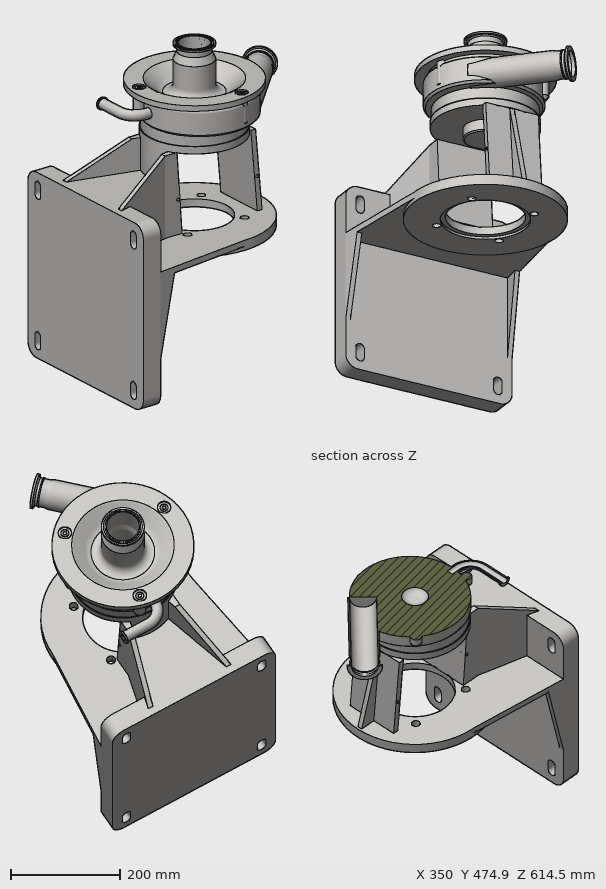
import cadquery as cq
import math


plate_width = 350
plate_height = 370.0
plate_front_y = -250.0
plate_thickness = 40.0
plate_back_y = plate_front_y + plate_thickness
plate_corner_radius = 25.0
slot_inset_x = 30.0
slot_inset_z = 35.0
slot_width = 18.0
slot_length = 35.0

shelf_top_z = 271.0
shelf_thickness = 12
disc_thickness = 20.0
disc_radius = 150.5
disc_bore_radius = 74
disc_relief_radius = 83.0
disc_relief_depth = 5.0
shelf_hole_circle_radius = 93.0
shelf_hole_diameter = 16.0
gusset_thickness = 10.0
gusset_reach = 35.0
gusset_foot_z = 97.0

leg_half_width = 55
leg_top_z = 435.0
front_leg_outer_y = -109.5
front_leg_inner_top_y = -82.0
front_leg_inner_foot_y = -70.0
back_leg_inner_top_y = 88.0
back_leg_lean = 15.0
back_leg_thickness = 11.0
back_rib_thickness = 10.0
back_rib_reach = 32.0
rib_thickness = 10.0
rib_splay_angle = math.radians(15)
rib_end_y = -235.0
pin_hole_diameter = 5.5
pin_hole_depth = 12
pin_hole_z = 340.5
front_pin_hole_y = -80
back_pin_hole_y = 102.0

ring_radius = 101.5
ring_top_z = 450.0
collar_radius = 99.5
volute_bottom_z = 473
volute_top_z = 527.0
volute_radius = 112.0
volute_offset = 6.45
volute_chamfer = 4.0
volute_fillet = 8.0
neck_radius = 106.0
flange_radius = 130.0
flange_bottom_z = 533.0
flange_top_z = 544.0
stub_radius = 41.0
stub_bottom_z = 412.5
stub_chamfer = 2.5

bowl_radius = 94.0
bowl_lip_width = 3.0
bowl_lip_depth = 2.0
bowl_cone_end_radius = 68.0
bowl_cone_end_z = 523.0
bowl_floor_radius = 58.5
bowl_floor_z = 517.5
bowl_fillet_radius = 16.0

inlet_top_z = 614.5
inlet_radius = 39.5
inlet_neck_radius = 32.5
inlet_neck_bottom_z = 598.0
inlet_cone_bottom_z = 582.5
inlet_ferrule_radius = 39.5
inlet_ferrule_thickness = 3.5
inlet_ferrule_bevel = 2.5
gasket_groove_inner_radius = 32.5
gasket_groove_outer_radius = 35.5
gasket_groove_depth = 1.0
inlet_bore_radius = 27.0
inlet_mouth_radius = 30.0
inlet_mouth_bottom_z = 565.5
inlet_mouth_cone_height = 12
inlet_bore_bottom_z = 491.5
inlet_bore_floor_radius = 10.0

outlet_z = 499.5
outlet_offset = 95.0
outlet_length = 190.5
outlet_radius = 28.0
outlet_neck_radius = 26.5
outlet_neck_length = 24.5
outlet_cone_length = 8.5
outlet_ferrule_radius = 32.5
outlet_ferrule_thickness = 4.0
outlet_ferrule_bevel = 3.0
outlet_bead_radius = 27.5
outlet_bead_width = 2.5
outlet_bead_setback = 15.0
outlet_bore_radius = 24.5

nozzle_radius = 10.5
nozzle_bore_radius = 6
nozzle_y = -145.5
nozzle_z = 501.0
nozzle_bend_radius = 34.0
nozzle_end_x = -88.5
nozzle_ferrule_radius = 12
nozzle_ferrule_thickness = 3.5
nozzle_root_y = -92

screw_circle_radius = 109.5
screw_angles = (15, 135, 255)
screw_recess_radius = 12
screw_recess_depth = 3.0
screw_head_radius = 7.5
screw_head_height = 2.0
screw_socket_size = 7.5
boss_radius = 11.0
boss_tip_radius = 6
boss_taper_z = 486.0
boss_bottom_z = 479.5


def cylinder(radius, bottom_z, top_z):
    return cq.Workplane("XY").workplane(offset=bottom_z).circle(radius).extrude(top_z - bottom_z)


def side_prism(points, start_x, width):
    """Extrude a (y, z) outline along +X from start_x."""
    return cq.Workplane("YZ").workplane(offset=start_x).polyline(points).close().extrude(width)


def mounting_plate():
    plate = (
        cq.Workplane("XY")
        .box(plate_width, plate_thickness, plate_height, centered=(True, False, False))
        .translate((0, plate_front_y, 0))
        .edges("|Y")
        .fillet(plate_corner_radius)
    )
    slots = (
        cq.Workplane("XZ", origin=(0, plate_back_y, plate_height / 2))
        .rarray(plate_width - 2 * slot_inset_x, plate_height - 2 * slot_inset_z, 2, 2)
        .slot2D(slot_length, slot_width, 90)
        .extrude(plate_thickness)
    )
    return plate.cut(slots)


def shelf_edge_x(y):
    """Half width of the shelf where it widens from the disc to the plate corners."""
    return disc_radius + (plate_width / 2 - disc_radius) * y / plate_back_y


def shelf():
    """Slab reaching from the plate to the disc, thickened under the disc, bored and drilled."""
    corner_x = plate_width / 2
    slab = (
        cq.Workplane("XY")
        .workplane(offset=shelf_top_z - shelf_thickness)
        .moveTo(-corner_x, plate_back_y)
        .lineTo(corner_x, plate_back_y)
        .lineTo(disc_radius, 0)
        .threePointArc((0, disc_radius), (-disc_radius, 0))
        .close()
        .extrude(shelf_thickness)
    )
    disc_bottom_z = shelf_top_z - disc_thickness
    holes = (
        cq.Workplane("XY")
        .workplane(offset=disc_bottom_z)
        .polarArray(shelf_hole_circle_radius, 45, 360, 4)
        .circle(shelf_hole_diameter / 2)
        .extrude(disc_thickness)
    )
    return (
        slab.union(cylinder(disc_radius, disc_bottom_z, shelf_top_z))
        .cut(cylinder(disc_bore_radius, disc_bottom_z, shelf_top_z))
        .cut(cylinder(disc_relief_radius, disc_bottom_z, disc_bottom_z + disc_relief_depth))
        .cut(holes)
    )


def shelf_gussets():
    """Triangular gussets under the shelf, flush with its slanted sides."""
    top_z = shelf_top_z - shelf_thickness
    tip_y = plate_back_y + gusset_reach
    tip_x = shelf_edge_x(tip_y)
    root_x = shelf_edge_x(plate_back_y)
    side = side_prism([(plate_back_y, top_z), (tip_y, top_z), (plate_back_y, gusset_foot_z)], 0, root_x)
    plan = (
        cq.Workplane("XY")
        .workplane(offset=gusset_foot_z)
        .polyline(
            [
                (root_x, plate_back_y),
                (tip_x, tip_y),
                (tip_x - gusset_thickness, tip_y),
                (root_x - gusset_thickness, plate_back_y),
            ]
        )
        .close()
        .extrude(top_z - gusset_foot_z)
    )
    gusset = plan.intersect(side)
    return gusset.union(gusset.mirror("YZ"))


def pin_holes(y):
    left = (
        cq.Workplane("YZ", origin=(-leg_half_width, y, pin_hole_z))
        .circle(pin_hole_diameter / 2)
        .extrude(pin_hole_depth)
    )
    return left.union(left.mirror("YZ"))


def front_leg():
    """Leg with a round outer wall and two splayed ribs, solid between the ribs up to the plate top."""
    splay = math.tan(rib_splay_angle)
    rib_inner_x = leg_half_width - rib_thickness / math.cos(rib_splay_angle)
    rib_spread = (front_leg_outer_y - rib_end_y) * splay
    rib_inner_end_x = rib_inner_x + rib_spread
    rib_outer_end_x = leg_half_width + rib_spread
    channel_inner_x = rib_inner_x - (front_leg_inner_top_y - front_leg_outer_y) * splay

    plan = (
        cq.Workplane("XY")
        .workplane(offset=shelf_top_z)
        .polyline(
            [
                (-rib_outer_end_x, rib_end_y),
                (rib_outer_end_x, rib_end_y),
                (leg_half_width, front_leg_outer_y),
                (leg_half_width, front_leg_inner_foot_y),
                (-leg_half_width, front_leg_inner_foot_y),
                (-leg_half_width, front_leg_outer_y),
            ]
        )
        .close()
        .extrude(leg_top_z - shelf_top_z)
    )
    side = side_prism(
        [
            (front_leg_inner_foot_y, shelf_top_z),
            (front_leg_inner_top_y, leg_top_z),
            (front_leg_outer_y, leg_top_z),
            (rib_end_y, plate_height),
            (plate_back_y, plate_height),
            (plate_back_y, shelf_top_z),
        ],
        -plate_width / 2,
        plate_width,
    )
    channel = (
        cq.Workplane("XY")
        .workplane(offset=plate_height)
        .polyline(
            [
                (-rib_inner_end_x, rib_end_y),
                (rib_inner_end_x, rib_end_y),
                (channel_inner_x, front_leg_inner_top_y),
                (-channel_inner_x, front_leg_inner_top_y),
            ]
        )
        .close()
        .extrude(leg_top_z - plate_height)
        .cut(cylinder(ring_radius, plate_height, leg_top_z))
    )
    return plan.intersect(side).cut(channel).cut(pin_holes(front_pin_hole_y))


def back_leg():
    """Leaning flat leg stiffened by one rib on its outer face."""
    inner_foot_y = back_leg_inner_top_y + back_leg_lean
    outer_top_y = back_leg_inner_top_y + back_leg_thickness
    outer_foot_y = inner_foot_y + back_leg_thickness
    web = side_prism(
        [
            (back_leg_inner_top_y, leg_top_z),
            (outer_top_y, leg_top_z),
            (outer_foot_y, shelf_top_z),
            (inner_foot_y, shelf_top_z),
        ],
        -leg_half_width,
        2 * leg_half_width,
    )
    rib = side_prism(
        [
            (outer_top_y, leg_top_z),
            (outer_foot_y + back_rib_reach, shelf_top_z),
            (inner_foot_y, shelf_top_z),
            (back_leg_inner_top_y, leg_top_z),
        ],
        -back_rib_thickness / 2,
        back_rib_thickness,
    )
    return web.union(rib).cut(pin_holes(back_pin_hole_y))


def housing():
    volute = (
        cylinder(volute_radius, volute_bottom_z, volute_top_z)
        .faces("<Z")
        .chamfer(volute_chamfer)
        .faces(">Z")
        .edges()
        .fillet(volute_fillet)
        .union(cylinder(neck_radius, volute_top_z, flange_bottom_z))
        .translate((volute_offset, volute_offset, 0))
    )
    stub = cylinder(stub_radius, stub_bottom_z, leg_top_z).faces("<Z").chamfer(stub_chamfer)
    return (
        cylinder(ring_radius, leg_top_z, ring_top_z)
        .union(cylinder(collar_radius, ring_top_z, volute_bottom_z))
        .union(volute)
        .union(cylinder(flange_radius, flange_bottom_z, flange_top_z))
        .union(stub)
    )


def bowl():
    """Conical recess in the flange with a rounded foot around the inlet pipe."""
    fillet_center_r = inlet_radius + bowl_fillet_radius
    fillet_center_z = bowl_floor_z + bowl_fillet_radius
    fillet_mid = bowl_fillet_radius * math.sqrt(0.5)
    return (
        cq.Workplane("XZ")
        .moveTo(inlet_radius, flange_top_z)
        .lineTo(bowl_radius, flange_top_z)
        .lineTo(bowl_radius - bowl_lip_width, flange_top_z - bowl_lip_depth)
        .lineTo(bowl_cone_end_radius, bowl_cone_end_z)
        .tangentArcPoint((bowl_floor_radius, bowl_floor_z), relative=False)
        .lineTo(fillet_center_r, bowl_floor_z)
        .threePointArc(
            (fillet_center_r - fillet_mid, fillet_center_z - fillet_mid),
            (inlet_radius, fillet_center_z),
        )
        .close()
        .revolve(360, (0, 0, 0), (0, 1, 0))
    )


def inlet():
    ferrule_bottom_z = inlet_top_z - inlet_ferrule_thickness
    return (
        cq.Workplane("XZ")
        .polyline(
            [
                (0, flange_bottom_z),
                (inlet_radius, flange_bottom_z),
                (inlet_radius, inlet_cone_bottom_z),
                (inlet_neck_radius, inlet_neck_bottom_z),
                (inlet_neck_radius, ferrule_bottom_z - inlet_ferrule_bevel),
                (inlet_neck_radius + inlet_ferrule_bevel, ferrule_bottom_z),
                (inlet_ferrule_radius, ferrule_bottom_z),
                (inlet_ferrule_radius, inlet_top_z),
                (0, inlet_top_z),
            ]
        )
        .close()
        .revolve(360, (0, 0, 0), (0, 1, 0))
    )


def inlet_bore():
    """Bore with a wider mouth and a rounded floor, and the gasket groove in the ferrule face."""
    floor_fillet_radius = inlet_bore_radius - inlet_bore_floor_radius
    bore = (
        cylinder(inlet_bore_radius, inlet_bore_bottom_z, inlet_top_z)
        .faces("<Z")
        .edges()
        .fillet(floor_fillet_radius)
    )
    mouth = (
        cq.Workplane("XY")
        .workplane(offset=inlet_mouth_bottom_z - inlet_mouth_cone_height)
        .circle(inlet_bore_radius)
        .workplane(offset=inlet_mouth_cone_height)
        .circle(inlet_mouth_radius)
        .loft()
        .union(cylinder(inlet_mouth_radius, inlet_mouth_bottom_z, inlet_top_z))
    )
    groove_bottom_z = inlet_top_z - gasket_groove_depth
    groove = cylinder(gasket_groove_outer_radius, groove_bottom_z, inlet_top_z).cut(
        cylinder(gasket_groove_inner_radius, groove_bottom_z, inlet_top_z)
    )
    return bore.union(mouth).union(groove)


def outlet_plane():
    """Plane at the root of the outlet, its normal pointing along the pipe."""
    root = outlet_offset * math.sqrt(0.5)
    return cq.Plane(origin=(root, root, outlet_z), xDir=(0, 0, 1), normal=(-1, 1, 0))


def outlet():
    neck_start = outlet_length - outlet_neck_length
    bead_start = outlet_length - outlet_bead_setback
    ferrule_start = outlet_length - outlet_ferrule_thickness
    axis = outlet_plane()
    profile_plane = cq.Plane(origin=axis.origin, xDir=axis.xDir, normal=axis.yDir.multiply(-1))
    return (
        cq.Workplane(profile_plane)
        .polyline(
            [
                (0, 0),
                (outlet_radius, 0),
                (outlet_radius, neck_start - outlet_cone_length),
                (outlet_neck_radius, neck_start),
                (outlet_neck_radius, bead_start),
                (outlet_bead_radius, bead_start),
                (outlet_bead_radius, bead_start + outlet_bead_width),
                (outlet_neck_radius, bead_start + outlet_bead_width),
                (outlet_neck_radius, ferrule_start - outlet_ferrule_bevel),
                (outlet_neck_radius + outlet_ferrule_bevel, ferrule_start),
                (outlet_ferrule_radius, ferrule_start),
                (outlet_ferrule_radius, outlet_length),
                (0, outlet_length),
            ]
        )
        .close()
        .revolve(360, (0, 0, 0), (0, 1, 0))
    )


def outlet_bore():
    return cq.Workplane(outlet_plane()).circle(outlet_bore_radius).extrude(outlet_length)


def nozzle_tube(radius):
    """Round bar along the nozzle path: along X from its open end, then a bend into the housing."""
    bend_mid = nozzle_bend_radius * math.sqrt(0.5)
    bend_center_y = nozzle_y + nozzle_bend_radius
    path = (
        cq.Workplane("XY", origin=(0, 0, nozzle_z))
        .moveTo(nozzle_end_x, nozzle_y)
        .lineTo(-nozzle_bend_radius, nozzle_y)
        .threePointArc((bend_mid - nozzle_bend_radius, bend_center_y - bend_mid), (0, bend_center_y))
        .lineTo(0, nozzle_root_y)
    )
    return cq.Workplane("YZ", origin=(nozzle_end_x, nozzle_y, nozzle_z)).circle(radius).sweep(path)


def nozzle():
    ferrule = (
        cq.Workplane("YZ", origin=(nozzle_end_x, nozzle_y, nozzle_z))
        .circle(nozzle_ferrule_radius)
        .extrude(nozzle_ferrule_thickness)
    )
    return nozzle_tube(nozzle_radius).union(ferrule)


def at_screws(shape):
    """Copies of a shape built on the Z axis, moved to the three screw positions."""
    shifted = shape.translate((screw_circle_radius, 0, 0))
    copies = cq.Workplane("XY")
    for angle in screw_angles:
        copies = copies.add(shifted.rotate((0, 0, 0), (0, 0, 1), angle))
    return copies.combine()


def screw_boss():
    tip = (
        cq.Workplane("XY")
        .workplane(offset=boss_bottom_z)
        .circle(boss_tip_radius)
        .workplane(offset=boss_taper_z - boss_bottom_z)
        .circle(boss_radius)
        .loft()
    )
    return tip.union(cylinder(boss_radius, boss_taper_z, flange_bottom_z))


def screw_recess():
    """Round recess with a low socket head left standing in its middle."""
    recess_floor_z = flange_top_z - screw_recess_depth
    head = cylinder(screw_head_radius, recess_floor_z, recess_floor_z + screw_head_height)
    socket = (
        cq.Workplane("XY")
        .workplane(offset=recess_floor_z)
        .polygon(6, screw_socket_size)
        .extrude(screw_head_height)
    )
    return cylinder(screw_recess_radius, recess_floor_z, flange_top_z).cut(head).union(socket)


bracket = mounting_plate().union(shelf()).union(shelf_gussets()).union(front_leg()).union(back_leg())
pump = housing().union(at_screws(screw_boss())).union(outlet()).union(nozzle()).cut(bowl()).union(inlet())
pump = pump.cut(inlet_bore()).cut(outlet_bore()).cut(nozzle_tube(nozzle_bore_radius))
pump = pump.cut(at_screws(screw_recess()))
result = bracket.union(pump)